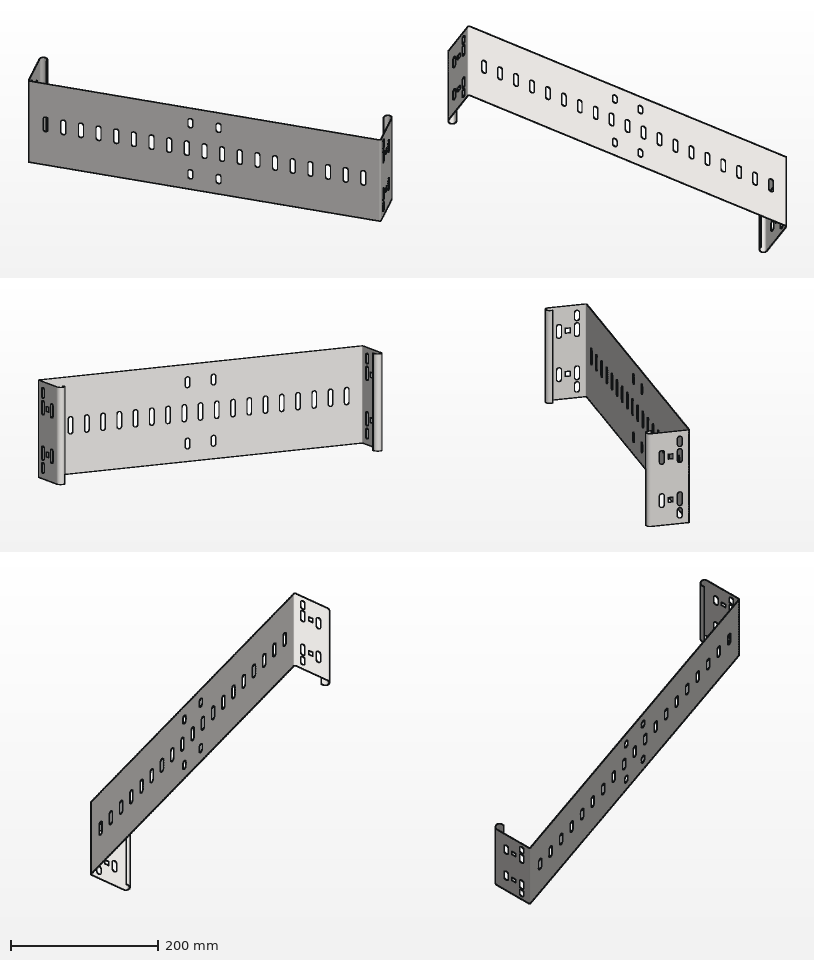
import cadquery as cq

length = 500.0
depth = 60.5
height = 135.0
sheet = 1.2
bend_inner = 1.0
bend_radius = bend_inner + sheet

curl_radius = 6.0
lip_straight = 3.0

row_count = 19
row_pitch = 25.0
row_slot_width = 7.0
row_slot_height = 24.0

short_slot_width = 7.0
short_slot_height = 15.0
short_slot_x = 20.0
short_slot_z = 42.5

flange_slot_width = 7.0
tall_slot_height = 20.0
near_slot_y = 14.0
far_slot_y = 39.5
square_y = 27.0
square_side = 7.0
group_z = 31.5
end_slot_height = 15.0
end_slot_z = 52.0

half_length = length / 2
web_face = -depth / 2
edge_top = depth / 2
upright = 90


def half_profile():
    """Outline of the right half of the section, in X and Y."""
    outer = half_length
    inner = half_length - sheet
    curl_x = half_length - curl_radius
    curl_y = edge_top - curl_radius
    curl_inner = curl_radius - sheet
    lip_end = curl_y - lip_straight
    bend_y = web_face + bend_radius
    return (
        cq.Workplane("XY")
        .moveTo(0, web_face)
        .lineTo(outer - bend_radius, web_face)
        .radiusArc((outer, bend_y), -bend_radius)
        .lineTo(outer, curl_y)
        .threePointArc((curl_x, edge_top), (curl_x - curl_radius, curl_y))
        .lineTo(curl_x - curl_radius, lip_end)
        .lineTo(curl_x - curl_inner, lip_end)
        .lineTo(curl_x - curl_inner, curl_y)
        .threePointArc((curl_x, edge_top - sheet), (inner, curl_y))
        .lineTo(inner, bend_y)
        .radiusArc((outer - bend_radius, web_face + sheet), bend_inner)
        .lineTo(0, web_face + sheet)
        .close()
    )


def bent_sheet():
    right = half_profile().extrude(height / 2, both=True)
    return right.union(right.mirror("YZ")).clean()


def web_cutters():
    """Cutters for all slots of the web, passing through the web only."""
    overshoot = sheet
    plane = cq.Workplane("XZ", origin=(0, web_face + sheet + overshoot, 0))
    row = (
        plane.rarray(row_pitch, 5, row_count, 1)
        .slot2D(row_slot_height, row_slot_width, upright)
        .extrude(sheet + 2 * overshoot)
    )
    short = (
        plane.rarray(2 * short_slot_x, 2 * short_slot_z, 2, 2)
        .slot2D(short_slot_height, short_slot_width, upright)
        .extrude(sheet + 2 * overshoot)
    )
    return row.union(short)


def flange_cutters():
    """Cutters for the flange holes, passing through both flanges."""
    near_y = web_face + near_slot_y
    far_y = web_face + far_slot_y
    plane = cq.Workplane("YZ")
    tall = (
        plane.pushPoints([(y, z) for y in (near_y, far_y) for z in (-group_z, group_z)])
        .slot2D(tall_slot_height, flange_slot_width, upright)
        .extrude(length, both=True)
    )
    end = (
        plane.pushPoints([(near_y, -end_slot_z), (near_y, end_slot_z)])
        .slot2D(end_slot_height, flange_slot_width, upright)
        .extrude(length, both=True)
    )
    square = (
        plane.pushPoints([(web_face + square_y, -group_z), (web_face + square_y, group_z)])
        .rect(square_side, square_side)
        .extrude(length, both=True)
    )
    return tall.union(end).union(square)


result = bent_sheet().cut(web_cutters()).cut(flange_cutters())